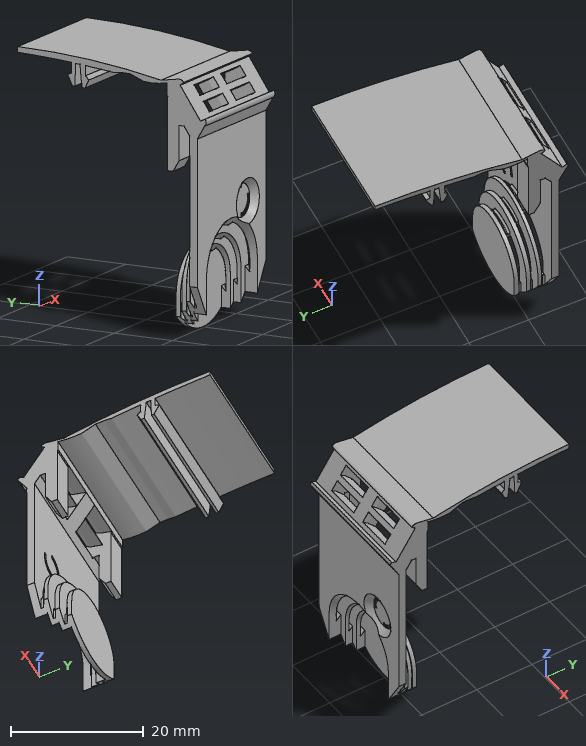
import cadquery as cq
import math

WIDTH = 21.6
HEIGHT = 42.68
DEPTH = 32.43
LIP_FRONT_Y = -1.5
COVER_BACK_Y = DEPTH + LIP_FRONT_Y
HALF_WIDTH = WIDTH / 2
MARGIN = 1.0

PANEL_THICKNESS = 1.32
TIP_RADIUS = 9.8
SHOULDER_Z = 8.9

HEAD_TOP = (2.96, 39.9)
HEAD_BOTTOM = (-0.52, 34.75)
HEAD_WALL = 2.95
HEAD_BACK_Y = 5.3
LIP_BASE_Z = 31.9
LIP_EDGE = (-1.32, 35.12)
LIP_NOSE = (LIP_FRONT_Y, 34.7)
LIP_UNDERSIDE = (-1.2, 34.0)
BROW_TOP = (3.3, 40.81)
BROW_EDGE = (2.35, 40.4)

COVER_THICKNESS = 0.92
COVER_SAG = 0.6
COVER_FRONT = (6.23, 40.3)
HINGE_FRONT = (HEAD_BACK_Y, 39.95)
HINGE_LOW = (7.5, 39.67)
HINGE_BACK = (9.3, 39.75)
HOLLOW_FRONT = (11.6, 40.65)
HOLLOW_BACK = (13.0, 40.68)
UNDERSIDE_FRONT = (14.3, 40.55)
UNDERSIDE_MIDDLE = (21.66, 41.27)

LEG_BACK_Y = 5.16
LEG_FRONT_Y = 3.14
LEG_BOTTOM_Z = 26.4
LEG_INNER_X = 7.15
LEG_TIP_Y = 4.2
LEG_TIP_CHAMFER_Z = 28.2
CHANNEL_TOP_Z = 33.65
LEG_TOP_Z = 40.0
HEAD_OVERLAP = 1.5

SLOT_OUTER_X = 7.15
SLOT_INNER_X = 1.1
SLOT_INNER_X_DEEP = 1.4
SLOT_TOPS_Z = (39.26, 36.9)
SLOT_HEIGHT = 1.5
SLOT_STEP_DEPTH = 0.95
SLOT_CEILING_FLARE = 0.3
SLOT_FLOOR_FLARE = 0.2
SLOT_OVERRUN = 0.6

PLATES = (
    (2.12, 2.77, 9.2, 8.2),
    (3.4, 4.17, 8.1, 7.15),
    (4.95, 5.73, 7.1, 6.2),
)
OPENINGS = (
    (0.0, 7.97, 9.49, 7.98),
    (PLATES[0][0], 6.69, 8.1, 7.06),
    (PLATES[1][0], 5.69, 7.28, 6.11),
)
GAP_STARTS_Y = (PANEL_THICKNESS, PLATES[0][1], PLATES[1][1])
BRIDGE_THIN = 0.65
BRIDGE_THICK = 1.2
BRIDGE_HALF_WIDTH = 2.6
LOWER_BRIDGE_TOPS_Z = (8.1, 6.1, 5.2)
BELOW_TIP_Z = -2.0

KNOCKOUT_X = 5.0
KNOCKOUT_Z = 19.0
KNOCKOUT_RADIUS = 3.58
KNOCKOUT_FLOOR_RADIUS = 2.62
KNOCKOUT_WEB = 0.2
SLIT_OUTER_RADIUS = 2.45
SLIT_INNER_RADIUS = 2.02
SLIT_SPAN = 105
SLIT_STARTS = (90, 270)

RIB_TOP_Z = 41.5
BACK_RIB = (
    (21.66, RIB_TOP_Z), (21.66, 39.65), (22.35, 39.35),
    (21.5, 37.65), (21.05, 37.65), (20.9, RIB_TOP_Z),
)
FRONT_RIB = (
    (20.2, RIB_TOP_Z), (19.85, 37.55), (19.3, 37.55),
    (18.65, 38.9), (19.2, 39.5), (19.2, RIB_TOP_Z),
)

HEAD_RUN = HEAD_TOP[0] - HEAD_BOTTOM[0]
HEAD_RISE = HEAD_TOP[1] - HEAD_BOTTOM[1]
HEAD_SLOPE = HEAD_RISE / HEAD_RUN
HEAD_LENGTH = math.hypot(HEAD_RUN, HEAD_RISE)
INWARD = (HEAD_RISE / HEAD_LENGTH, -HEAD_RUN / HEAD_LENGTH)
UP_FACE = (HEAD_RUN / HEAD_LENGTH, HEAD_RISE / HEAD_LENGTH)


def face_y(z):
    """Y of the sloping face at height z."""
    return HEAD_BOTTOM[0] + (z - HEAD_BOTTOM[1]) / HEAD_SLOPE


def inner_z(y):
    """Height of the head's inner face, parallel to the sloping face, at depth y."""
    return HEAD_BOTTOM[1] + HEAD_SLOPE * (y - HEAD_BOTTOM[0] - HEAD_WALL / INWARD[0])


def across(outline, x_start, x_end):
    """Extrude a closed YZ outline from x_start to x_end."""
    return outline.extrude(x_end - x_start).translate((x_start, 0, 0))


def make_shell():
    """Cover, sloping head and panel as one section across the full width."""
    cover_mid = (
        (COVER_BACK_Y + COVER_FRONT[0]) / 2,
        (HEIGHT + COVER_FRONT[1]) / 2 + COVER_SAG,
    )
    outline = (
        cq.Workplane("YZ")
        .moveTo(COVER_BACK_Y, HEIGHT)
        .threePointArc(cover_mid, COVER_FRONT)
        .lineTo(*BROW_TOP)
        .tangentArcPoint(BROW_EDGE, relative=False)
        .lineTo(*HEAD_TOP)
        .lineTo(*HEAD_BOTTOM)
        .lineTo(*LIP_EDGE)
        .threePointArc(LIP_NOSE, LIP_UNDERSIDE)
        .lineTo(0, LIP_BASE_Z)
        .lineTo(0, BELOW_TIP_Z)
        .lineTo(PANEL_THICKNESS, BELOW_TIP_Z)
        .lineTo(PANEL_THICKNESS, inner_z(PANEL_THICKNESS))
        .lineTo(HEAD_BACK_Y, inner_z(HEAD_BACK_Y))
        .lineTo(*HINGE_FRONT)
        .threePointArc(HINGE_LOW, HINGE_BACK)
        .lineTo(*HOLLOW_FRONT)
        .lineTo(*HOLLOW_BACK)
        .lineTo(*UNDERSIDE_FRONT)
        .threePointArc(UNDERSIDE_MIDDLE, (COVER_BACK_Y, HEIGHT - COVER_THICKNESS))
        .close()
    )
    return across(outline, -HALF_WIDTH, HALF_WIDTH)


def make_leg(x_start, x_end):
    """End wall that fills the head and hangs down behind the panel."""
    outline = (
        cq.Workplane("YZ")
        .moveTo(LEG_BACK_Y, LEG_TOP_Z)
        .lineTo(LEG_BACK_Y, LEG_BOTTOM_Z)
        .lineTo(LEG_TIP_Y, LEG_BOTTOM_Z)
        .lineTo(LEG_FRONT_Y, LEG_TIP_CHAMFER_Z)
        .lineTo(LEG_FRONT_Y, CHANNEL_TOP_Z)
        .lineTo(face_y(CHANNEL_TOP_Z) + HEAD_OVERLAP, CHANNEL_TOP_Z)
        .lineTo(face_y(LEG_TOP_Z) + HEAD_OVERLAP, LEG_TOP_Z)
        .close()
    )
    return across(outline, x_start, x_end)


def slot_section(top_z, depth, inner_x, flare_depth):
    """Rectangular wire of a slot, parallel to the sloping face at the given depth."""
    bottom_z = top_z - SLOT_HEIGHT
    rise = SLOT_CEILING_FLARE * flare_depth
    fall = SLOT_FLOOR_FLARE * flare_depth

    def corner(x, z, shift):
        return cq.Vector(
            x,
            face_y(z) + depth * INWARD[0] + shift * UP_FACE[0],
            z + depth * INWARD[1] + shift * UP_FACE[1],
        )

    corners = [
        corner(inner_x, top_z, rise),
        corner(SLOT_OUTER_X, top_z, rise),
        corner(SLOT_OUTER_X, bottom_z, -fall),
        corner(inner_x, bottom_z, -fall),
    ]
    return cq.Wire.makePolygon(corners, close=True)


def make_slot(top_z):
    """Right-hand slot through the sloping face: straight at first, flaring behind."""
    end_depth = HEAD_WALL + SLOT_OVERRUN
    step = slot_section(top_z, SLOT_STEP_DEPTH, SLOT_INNER_X_DEEP, 0)
    outside = slot_section(top_z, -SLOT_OVERRUN, SLOT_INNER_X, 0)
    inside = slot_section(top_z, end_depth, SLOT_INNER_X_DEEP, end_depth - SLOT_STEP_DEPTH)
    mouth = cq.Workplane(cq.Solid.makeLoft([outside, step], True))
    return mouth.union(cq.Workplane(cq.Solid.makeLoft([step, inside], True)))


def make_rib(points):
    """Barbed rib under the cover, across the full width."""
    return across(cq.Workplane("YZ").polyline(points).close(), -HALF_WIDTH, HALF_WIDTH)


def arch_wire(y, radius, centre_z):
    """Round-topped outline in the plane at depth y, running down past the tip."""
    return (
        cq.Workplane("XZ", origin=(0, y, 0))
        .moveTo(-radius, BELOW_TIP_Z)
        .lineTo(-radius, centre_z)
        .threePointArc((0, centre_z + radius), (radius, centre_z))
        .lineTo(radius, BELOW_TIP_Z)
        .close()
        .wire()
        .val()
    )


def arch_loft(front, back):
    """Solid between two arches, each given as (y, radius, centre_z)."""
    return cq.Workplane(cq.Solid.makeLoft([arch_wire(*front), arch_wire(*back)], True))


def make_plates():
    """Three stepped plates, their bridges, and the openings that lead to them."""
    bodies = cq.Workplane("XY")
    openings = []
    for plate, opening, gap_y, lower_top in zip(PLATES, OPENINGS, GAP_STARTS_Y, LOWER_BRIDGE_TOPS_Z):
        plate_y, plate_back, plate_radius, plate_centre = plate
        front_y, radius, front_centre, back_centre = opening
        openings.append(arch_loft((front_y, radius, front_centre), (plate_y, radius, back_centre)))

        slope = (back_centre - front_centre) / (plate_y - front_y)
        middle_y = (gap_y + plate_y) / 2
        gap_centre = front_centre + slope * (gap_y - front_y)
        middle_centre = front_centre + slope * (middle_y - front_y)
        thin_radius = radius + BRIDGE_THIN
        middle = (middle_y, thin_radius, middle_centre)
        sleeve = arch_loft((gap_y, thin_radius, gap_centre), middle)
        sleeve = sleeve.union(arch_loft(middle, (plate_y, radius + BRIDGE_THICK, back_centre)))
        upper = cq.Workplane("XY").box(2 * BRIDGE_HALF_WIDTH, DEPTH, HEIGHT, centered=(True, True, False))
        gap = plate_y - gap_y
        lower = across(
            cq.Workplane("YZ").polyline([
                (gap_y, BELOW_TIP_Z),
                (plate_y, BELOW_TIP_Z),
                (plate_y, lower_top),
                (gap_y, lower_top - gap),
            ]).close(),
            -HALF_WIDTH, HALF_WIDTH,
        )
        plate_front_arch = (plate_y, plate_radius, plate_centre)
        plate_back_arch = (plate_back, plate_radius, plate_centre)
        bodies = bodies.union(arch_loft(plate_front_arch, plate_back_arch))
        bodies = bodies.union(sleeve.intersect(upper.union(lower)))
    return bodies, openings


def cut_knockout(body):
    """Countersunk recess whose thin floor is held between two curved slits."""
    floor_y = PANEL_THICKNESS - KNOCKOUT_WEB
    recess = cq.Workplane(cq.Solid.makeCone(
        KNOCKOUT_RADIUS, KNOCKOUT_FLOOR_RADIUS, floor_y,
        cq.Vector(KNOCKOUT_X, 0, KNOCKOUT_Z), cq.Vector(0, 1, 0),
    ))
    body = body.cut(recess)

    def on_circle(radius, degrees):
        angle = math.radians(degrees)
        return (KNOCKOUT_X + radius * math.cos(angle), KNOCKOUT_Z + radius * math.sin(angle))

    for start in SLIT_STARTS:
        middle = start + SLIT_SPAN / 2
        end = start + SLIT_SPAN
        slit = (
            cq.Workplane("XZ")
            .moveTo(*on_circle(SLIT_OUTER_RADIUS, start))
            .threePointArc(on_circle(SLIT_OUTER_RADIUS, middle), on_circle(SLIT_OUTER_RADIUS, end))
            .lineTo(*on_circle(SLIT_INNER_RADIUS, end))
            .threePointArc(on_circle(SLIT_INNER_RADIUS, middle), on_circle(SLIT_INNER_RADIUS, start))
            .close()
            .extrude(-PANEL_THICKNESS)
        )
        body = body.cut(slit)
    return body


def make_front_outline():
    """Prism of the front outline: straight sides, tapering tangentially into the round tip."""
    rise = SHOULDER_Z - TIP_RADIUS
    reach = math.hypot(HALF_WIDTH, rise)
    angle = math.atan2(rise, HALF_WIDTH) - math.acos(TIP_RADIUS / reach)
    tangent_x = TIP_RADIUS * math.cos(angle)
    tangent_z = TIP_RADIUS * (1 + math.sin(angle))
    return (
        cq.Workplane("XZ", origin=(0, LIP_FRONT_Y - MARGIN, 0))
        .moveTo(-HALF_WIDTH, HEIGHT + MARGIN)
        .lineTo(-HALF_WIDTH, SHOULDER_Z)
        .lineTo(-tangent_x, tangent_z)
        .threePointArc((0, 0), (tangent_x, tangent_z))
        .lineTo(HALF_WIDTH, SHOULDER_Z)
        .lineTo(HALF_WIDTH, HEIGHT + MARGIN)
        .close()
        .extrude(-(DEPTH + 2 * MARGIN))
    )


shell = make_shell()
shell = shell.union(make_leg(-HALF_WIDTH, -LEG_INNER_X)).union(make_leg(LEG_INNER_X, HALF_WIDTH))
shell = shell.union(make_rib(BACK_RIB)).union(make_rib(FRONT_RIB))
for slot_top in SLOT_TOPS_Z:
    slot = make_slot(slot_top)
    shell = shell.cut(slot).cut(slot.mirror("YZ"))
shell = cut_knockout(shell)

plates, plate_openings = make_plates()
body = shell.union(plates)
for plate_opening in plate_openings:
    body = body.cut(plate_opening)
result = body.intersect(make_front_outline())